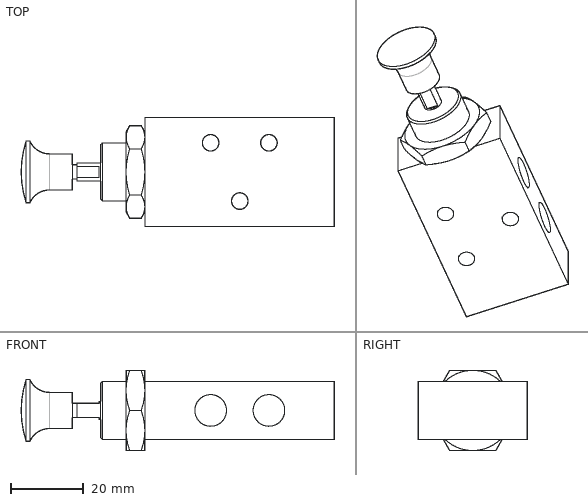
import cadquery as cq
import math

total_length = 86.0
body_length = 52.0
body_width = 30.0
body_height = 16.0
body_start = total_length - body_length

hole_diameter = 4.5
hole_offset = 8.0
port_diameter = 8.7
port_depth = 12.0
first_port_x = 52.0
port_pitch = 16.0
second_port_x = first_port_x + port_pitch

nut_across_flats = 22.0
nut_thickness = 5.2
nut_chamfer_angle = math.radians(30)
nut_start = body_start - nut_thickness

collar_start = 21.85
collar_radius = body_height / 2
collar_chamfer = 0.5

rim_radius = 8.5
dome_height = 1.4
rim_end = 2.4
neck_radius = 5.0
neck_start = 7.8
button_end = 14.1

stem_neck_radius = 2.0
stem_radius = 2.5
stem_step = 15.3
flat_end = 21.4
flat_half_height = 2.0


def cylinder(start, end, radius):
    """Solid cylinder along the X axis."""
    return cq.Workplane("YZ", origin=(start, 0, 0)).circle(radius).extrude(end - start)


def make_body():
    body = cq.Workplane("XY").box(body_length, body_width, body_height)
    body = body.translate((body_start + body_length / 2, 0, 0))
    hole_points = [
        (first_port_x, hole_offset),
        (second_port_x, hole_offset),
        ((first_port_x + second_port_x) / 2, -hole_offset),
    ]
    holes = (
        cq.Workplane("XY", origin=(0, 0, -body_height / 2))
        .pushPoints(hole_points)
        .circle(hole_diameter / 2)
        .extrude(body_height)
    )
    ports = (
        cq.Workplane("XZ", origin=(0, -body_width / 2, 0))
        .pushPoints([(first_port_x, 0), (second_port_x, 0)])
        .circle(port_diameter / 2)
        .extrude(-port_depth)
    )
    return body.cut(holes).cut(ports)


def make_nut():
    """Hexagon with corners on the Y axis, corners bevelled on both faces."""
    face_radius = nut_across_flats / 2
    corner_radius = face_radius / math.cos(math.pi / 6)
    bevel_length = (corner_radius - face_radius) * math.tan(nut_chamfer_angle)
    hexagon = (
        cq.Workplane("YZ", origin=(nut_start, 0, 0))
        .polygon(6, 2 * corner_radius)
        .extrude(nut_thickness)
    )
    envelope = (
        cq.Workplane("XY")
        .moveTo(nut_start, 0)
        .lineTo(nut_start, face_radius)
        .lineTo(nut_start + bevel_length, corner_radius)
        .lineTo(body_start - bevel_length, corner_radius)
        .lineTo(body_start, face_radius)
        .lineTo(body_start, 0)
        .close()
        .revolve(360, (0, 0, 0), (1, 0, 0))
    )
    return hexagon.intersect(envelope)


def make_collar():
    collar = cylinder(collar_start, nut_start, collar_radius)
    return collar.faces("<X").edges().chamfer(collar_chamfer)


def make_button():
    """Domed rim flaring from the neck along an arc tangent to the neck."""
    flare_length = neck_start - rim_end
    flare_rise = rim_radius - neck_radius
    flare_radius = (flare_length**2 + flare_rise**2) / (2 * flare_rise)
    half_sweep = math.asin(flare_length / flare_radius) / 2
    flare_middle = (
        neck_start - flare_radius * math.sin(half_sweep),
        neck_radius + flare_radius * (1 - math.cos(half_sweep)),
    )
    dome_radius = (rim_radius**2 + dome_height**2) / (2 * dome_height)
    mid_radius = rim_radius / 2
    dome_middle = (dome_radius - math.sqrt(dome_radius**2 - mid_radius**2), mid_radius)
    return (
        cq.Workplane("XY")
        .moveTo(0, 0)
        .threePointArc(dome_middle, (dome_height, rim_radius))
        .lineTo(rim_end, rim_radius)
        .threePointArc(flare_middle, (neck_start, neck_radius))
        .lineTo(button_end, neck_radius)
        .lineTo(button_end, 0)
        .close()
        .revolve(360, (0, 0, 0), (1, 0, 0))
    )


def make_stem():
    """Round stem with a thin neck and two flats facing up and down."""
    stem = cylinder(stem_step, collar_start, stem_radius)
    flat_length = flat_end - stem_step
    flat_cut_height = stem_radius - flat_half_height
    for side in (1, -1):
        flat_cut = cq.Workplane("XY").box(flat_length, 2 * stem_radius, flat_cut_height)
        flat_z = side * (flat_half_height + flat_cut_height / 2)
        stem = stem.cut(flat_cut.translate((stem_step + flat_length / 2, 0, flat_z)))
    return stem.union(cylinder(button_end, stem_step, stem_neck_radius))


result = make_body().union(make_nut()).union(make_collar()).union(make_stem()).union(make_button())